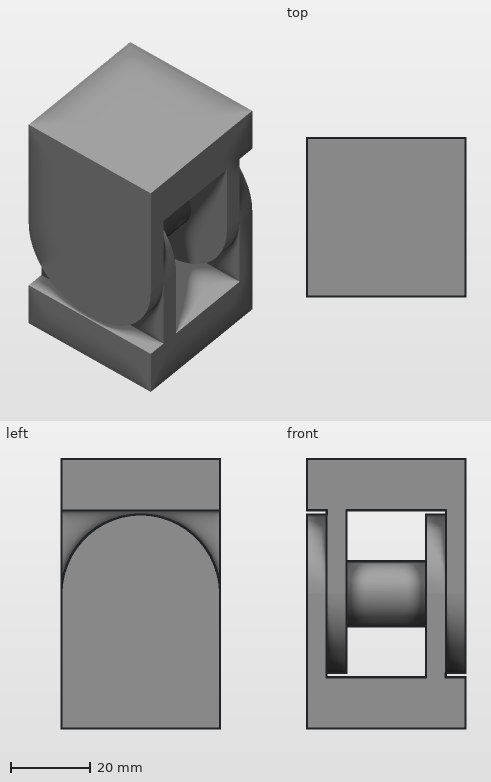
import cadquery as cq

width = 40.0
height = 68.0
base_thickness = 13.0
lug_thickness = 5.0
pin_diameter = 16.5

half_width = width / 2
half_height = height / 2
lug_radius = half_width
base_inner_height = half_height - base_thickness

outer_lug_x = -half_width
inner_lug_x = half_width - 2 * lug_thickness


def lug(left_x):
    """Upright plate rising from the lower base, rounded about the hinge axis."""
    return (
        cq.Workplane("YZ", origin=(left_x, 0, 0))
        .moveTo(-lug_radius, -base_inner_height)
        .lineTo(-lug_radius, 0)
        .threePointArc((0, lug_radius), (lug_radius, 0))
        .lineTo(lug_radius, -base_inner_height)
        .close()
        .extrude(lug_thickness)
    )


def lower_half():
    """Square base block carrying two rounded lugs."""
    half = cq.Workplane("XY", origin=(0, 0, -half_height)).rect(width, width).extrude(base_thickness)
    for left_x in (outer_lug_x, inner_lug_x):
        half = half.union(lug(left_x))
    return half


def hinge_pin():
    """Round pin running through all four lugs."""
    return cq.Workplane("YZ", origin=(-half_width, 0, 0)).circle(pin_diameter / 2).extrude(width)


lower = lower_half()
upper = lower.rotate((0, 0, 0), (0, 1, 0), 180)

result = lower.union(upper).union(hinge_pin())